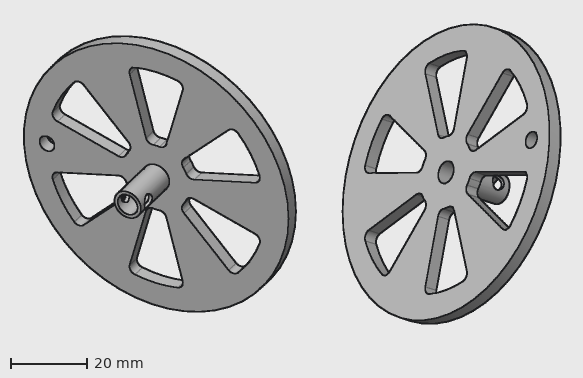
import cadquery as cq
import math

disc_diameter = 80
disc_thickness = 4
overall_depth = 19.0

hub_diameter = 8
bore_diameter = 6.0
cross_hole_diameter = 4
cross_hole_from_end = 4
hub_length = overall_depth - disc_thickness

window_count = 6
window_inner_radius = 10.0
window_outer_radius = 33.0
window_angle = 360 / window_count / 2
window_corner_radius = 2.0

rim_hole_diameter = 4.5
rim_hole_radius = window_outer_radius


def polar_point(radius, angle):
    """Point at a radius and an angle in degrees, measured from +X towards +Z."""
    radians = math.radians(angle)
    return radius * math.cos(radians), radius * math.sin(radians)


def window_cutter(middle_angle):
    """Rounded ring sector bounded by two radial sides."""
    start = middle_angle - window_angle / 2
    end = middle_angle + window_angle / 2
    return (
        cq.Workplane("XZ")
        .moveTo(*polar_point(window_inner_radius, start))
        .lineTo(*polar_point(window_outer_radius, start))
        .threePointArc(
            polar_point(window_outer_radius, middle_angle),
            polar_point(window_outer_radius, end),
        )
        .lineTo(*polar_point(window_inner_radius, end))
        .threePointArc(
            polar_point(window_inner_radius, middle_angle),
            polar_point(window_inner_radius, start),
        )
        .close()
        .extrude(-disc_thickness)
        .edges("|Y")
        .fillet(window_corner_radius)
    )


disc = cq.Workplane("XZ").circle(disc_diameter / 2).extrude(-disc_thickness)
hub = cq.Workplane("XZ").circle(hub_diameter / 2).extrude(hub_length)
result = disc.union(hub)

for index in range(window_count):
    result = result.cut(window_cutter(90 + index * 360 / window_count))

bore = (
    cq.Workplane("XZ", origin=(0, disc_thickness, 0))
    .circle(bore_diameter / 2)
    .extrude(overall_depth)
)
result = result.cut(bore)

cross_hole = (
    cq.Workplane("YZ")
    .center(cross_hole_from_end - hub_length, 0)
    .circle(cross_hole_diameter / 2)
    .extrude(hub_diameter, both=True)
)
result = result.cut(cross_hole)

rim_hole = (
    cq.Workplane("XZ")
    .center(-rim_hole_radius, 0)
    .circle(rim_hole_diameter / 2)
    .extrude(-disc_thickness)
)
result = result.cut(rim_hole)